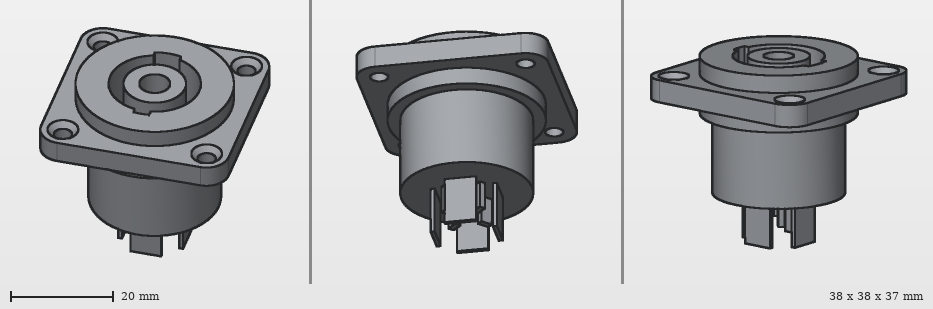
import cadquery as cq

flange_side = 38.0
flange_thickness = 4.5
corner_radius = 4.5
screw_pitch = 29.1
screw_diameter = 3.57
countersink_diameter = 6.0
countersink_angle = 90.0

collar_diameter = 30.95
collar_height = 3.5
barrel_diameter = 26.0
barrel_length = 16.05

socket_diameter = 18.0
socket_depth = 19.0
keyway_circle_diameter = 20.05
wide_keyway_width = 5.32
narrow_keyway_width = 3.2
post_diameter = 12.25
post_bore_diameter = 6.0

blade_width = 6.2
blade_thickness = 0.8
blade_length = 9.5
blade_outer_offset = 6.57
pin_thickness = 1.2
pin_width = 2.45
pin_length = 5.6
pin_outer_offset = 5.5

rear_collar_z = barrel_length
flange_z = rear_collar_z + collar_height
front_collar_z = flange_z + flange_thickness
front_z = front_collar_z + collar_height
socket_floor_z = front_z - socket_depth


def cylinder(diameter, bottom, top):
    """Cylinder on the Z axis between two heights."""
    return cq.Workplane("XY").workplane(offset=bottom).circle(diameter / 2).extrude(top - bottom)


def make_flange():
    """Rounded square plate with a countersunk hole in each corner."""
    return (
        cq.Workplane("XY")
        .workplane(offset=flange_z)
        .rect(flange_side, flange_side)
        .extrude(flange_thickness)
        .edges("|Z")
        .fillet(corner_radius)
        .faces(">Z")
        .workplane()
        .rect(screw_pitch, screw_pitch, forConstruction=True)
        .vertices()
        .cskHole(screw_diameter, countersink_diameter, countersink_angle)
    )


def make_housing():
    """Rear barrel and the two collars, as one solid of revolution."""
    return cylinder(barrel_diameter, 0, front_z).union(
        cylinder(collar_diameter, rear_collar_z, front_z)
    )


def make_keyway(width, side):
    """Keyway of the socket on the +Y (side = 1) or -Y (side = -1) side."""
    reach = keyway_circle_diameter / 2
    slot = (
        cq.Workplane("XY")
        .workplane(offset=socket_floor_z)
        .center(0, side * reach / 2)
        .rect(width, reach)
        .extrude(socket_depth)
    )
    return slot.intersect(cylinder(keyway_circle_diameter, socket_floor_z, front_z))


def make_socket():
    """Volume removed for the keyed cavity and the bore of its post."""
    cavity = cylinder(socket_diameter, socket_floor_z, front_z)
    cavity = cavity.union(make_keyway(wide_keyway_width, 1))
    cavity = cavity.union(make_keyway(narrow_keyway_width, -1))
    cavity = cavity.cut(cylinder(post_diameter, socket_floor_z, front_z))
    return cavity.union(cylinder(post_bore_diameter, socket_floor_z, front_z))


def make_terminals(radial, tangential, length, outer_offset, first_angle):
    """Four rectangular terminals hanging from the barrel, spaced 90 degrees apart."""
    return (
        cq.Workplane("XY")
        .polarArray(outer_offset - radial / 2, first_angle, 360, 4)
        .rect(radial, tangential)
        .extrude(-length)
    )


blades = make_terminals(blade_thickness, blade_width, blade_length, blade_outer_offset, 0)
pins = make_terminals(pin_width, pin_thickness, pin_length, pin_outer_offset, 45)

result = make_housing().union(make_flange()).cut(make_socket()).union(blades).union(pins)